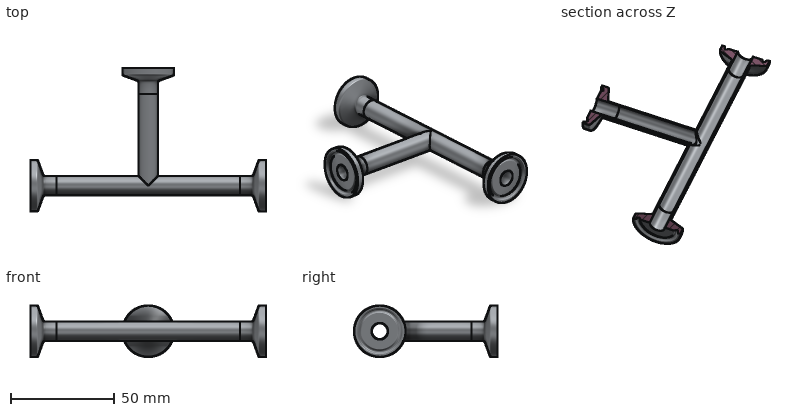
import cadquery as cq
import math

total_length = 114.4
total_depth = 69.7
flange_diameter = 25.0
tube_diameter = 9.5
bore_diameter = 7.8

ferrule_length = 12.6
rim_width = 2.9
rim_fillet = 1.0
neck_fillet = 0.74
cone_angle = math.radians(20)

groove_center_radius = 10.0
groove_floor_radius = 0.8
groove_depth = 1.6
groove_wall_angle = math.radians(20)
face_edge_fillet = 0.4
disc_edge_fillet = 0.51
disc_recess = 0.7

flange_radius = flange_diameter / 2
tube_radius = tube_diameter / 2
bore_radius = bore_diameter / 2
half_length = total_length / 2
branch_reach = total_depth - flange_radius
run_tube_length = total_length - 2 * ferrule_length
branch_tube_end = branch_reach - ferrule_length
tolerance = 0.001

groove_wall_spread = groove_floor_radius / math.cos(groove_wall_angle)
groove_wall_slope = math.tan(groove_wall_angle)
groove_floor_center_depth = groove_depth - groove_floor_radius
groove_outer_radius = groove_center_radius + groove_wall_spread + groove_floor_center_depth * groove_wall_slope
disc_radius = (
    groove_center_radius - groove_wall_spread - (groove_floor_center_depth - disc_recess) * groove_wall_slope
)


def cylinder(radius, length, direction, start=(0, 0, 0)):
    return cq.Workplane(cq.Solid.makeCylinder(radius, length, cq.Vector(*start), cq.Vector(*direction)))


def ferrule_blank():
    """Revolve the flange, cone and neck about X, with the face at x = 0."""
    half_arc = (math.pi / 2 - cone_angle) / 2
    rim_center_r = flange_radius - rim_fillet
    rim_mid = (rim_width + rim_fillet * math.sin(half_arc), rim_center_r + rim_fillet * math.cos(half_arc))
    cone_start = (
        rim_width + rim_fillet * math.cos(cone_angle),
        rim_center_r + rim_fillet * math.sin(cone_angle),
    )
    neck_center_r = tube_radius + neck_fillet
    cone_end_r = neck_center_r - neck_fillet * math.sin(cone_angle)
    cone_end_x = cone_start[0] + (cone_start[1] - cone_end_r) * math.tan(cone_angle)
    neck_start_x = cone_end_x + neck_fillet * math.cos(cone_angle)
    neck_mid = (
        neck_start_x - neck_fillet * math.sin(half_arc),
        neck_center_r - neck_fillet * math.cos(half_arc),
    )
    return (
        cq.Workplane("XY")
        .moveTo(0, bore_radius)
        .lineTo(0, flange_radius)
        .lineTo(rim_width, flange_radius)
        .threePointArc(rim_mid, cone_start)
        .lineTo(cone_end_x, cone_end_r)
        .threePointArc(neck_mid, (neck_start_x, tube_radius))
        .lineTo(ferrule_length, tube_radius)
        .lineTo(ferrule_length, bore_radius)
        .close()
        .revolve(360, (0, 0, 0), (1, 0, 0))
    )


def face_recess():
    """Cutter for the recessed disc and the deeper round-floored groove around it."""
    wall_offset = groove_floor_radius * math.cos(groove_wall_angle)
    wall_foot_x = groove_floor_center_depth + groove_floor_radius * math.sin(groove_wall_angle)
    outer_foot_r = groove_center_radius + wall_offset
    inner_foot_r = groove_center_radius - wall_offset
    return (
        cq.Workplane("XY")
        .moveTo(0, 0)
        .lineTo(0, groove_outer_radius)
        .lineTo(wall_foot_x, outer_foot_r)
        .threePointArc((groove_depth, groove_center_radius), (wall_foot_x, inner_foot_r))
        .lineTo(disc_recess, disc_radius)
        .lineTo(disc_recess, 0)
        .close()
        .revolve(360, (0, 0, 0), (1, 0, 0))
    )


def round_rim(body, x, radius, fillet):
    """Fillet the circular edge about X that has the given position and radius."""
    rim = [
        edge for edge in body.edges("%CIRCLE").vals()
        if abs(edge.Center().x - x) < tolerance and abs(edge.radius() - radius) < tolerance
    ]
    return body.newObject(rim).fillet(fillet)


def make_ferrule():
    ferrule = ferrule_blank().cut(face_recess())
    ferrule = round_rim(ferrule, 0, groove_outer_radius, face_edge_fillet)
    return round_rim(ferrule, disc_recess, disc_radius, disc_edge_fillet)


def make_run_tube():
    start = (-run_tube_length / 2, 0, 0)
    tube = cylinder(tube_radius, run_tube_length, (1, 0, 0), start)
    bore = cylinder(bore_radius, run_tube_length, (1, 0, 0), start)
    branch_opening = cylinder(bore_radius, tube_radius, (0, 1, 0))
    return tube.cut(bore).cut(branch_opening)


def make_branch_tube():
    """Tube along +Y, coped to sit on the outside of the run tube."""
    tube = cylinder(tube_radius, branch_tube_end, (0, 1, 0))
    bore = cylinder(bore_radius, branch_tube_end, (0, 1, 0))
    run_envelope = cylinder(tube_radius, run_tube_length, (1, 0, 0), (-run_tube_length / 2, 0, 0))
    return tube.cut(bore).cut(run_envelope)


ferrule_places = [
    (0, (-half_length, 0, 0)),
    (180, (half_length, 0, 0)),
    (-90, (0, branch_reach, 0)),
]
ferrules = []
for turn, face_center in ferrule_places:
    ferrule = make_ferrule().rotate((0, 0, 0), (0, 0, 1), turn).translate(face_center)
    ferrules.append(ferrule.val())

run_tube = make_run_tube()
branch_tube = make_branch_tube()

result = cq.Compound.makeCompound([run_tube.val(), branch_tube.val(), *ferrules])